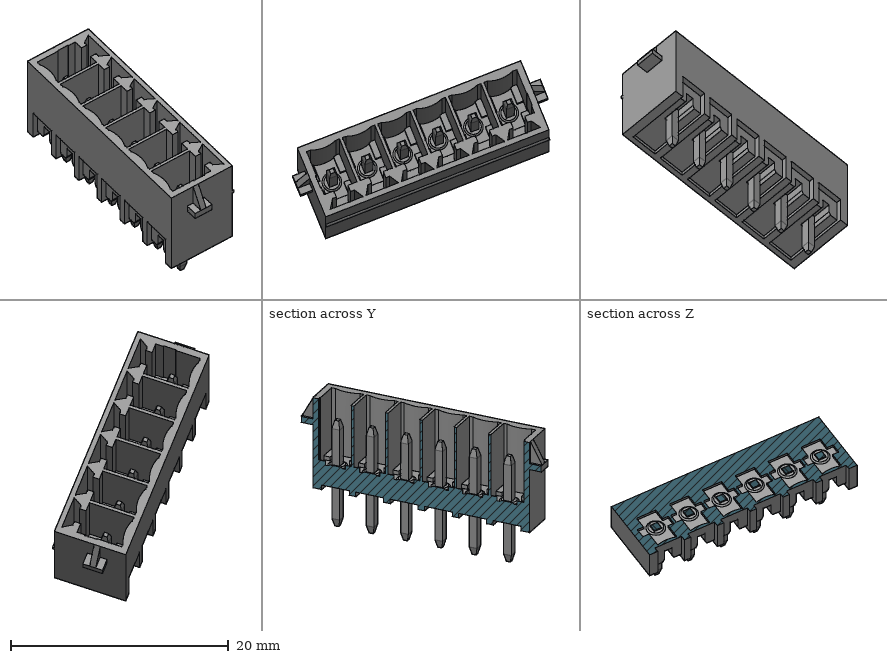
import cadquery as cq


pin_count = 6
pitch = 3.5
pin_xs = [(i - (pin_count - 1) / 2) * pitch for i in range(pin_count)]

body_length = 22.1
body_height = 9.2
front_y = -2.8
back_y = 4.2
outer_wall = 0.65
back_wall = 0.5

pin_width = 0.8
pin_tip_width = 0.4
pin_tip_length = 0.8
pin_bottom_z = -3.55
pin_top_z = 7.2

partition = 0.3
cell_half = (pitch - partition) / 2
cell_front_y = front_y + outer_wall
cell_back_y = back_y - back_wall
end_wall_x = body_length / 2 - outer_wall
floor_z = 3.0

tooth_front_y = 2.2
tooth_back_y = 2.83
tooth_gap_half = 0.7
flare_half = 1.08

bulge_half = 1.25
bulge_height = 0.25

recess_half = 1.0
recess_back_y = 1.73
recess_depth = 0.4
channel_half = 0.48
recess_z = floor_z - recess_depth
boss_diameter = 1.8
boss_top_diameter = 1.45
boss_height = 0.12

groove_depth = 0.07
groove_front_y = 0.25
groove_back_y = 1.45

notch_width = 2.8
notch_height = 3.1
notch_depth = 0.5
standoff = 0.45
slot_top_z = 1.85
slot_flare_half = 0.58
slot_flare_top_z = 0.8

latch_reach = 1.2
rib_width = 0.6
rib_height = 2.15
plate_width = 1.93
plate_thickness = 0.65

ridge_radius = 0.2
ridge_z = 5.8


def box(x0, x1, y0, y1, z0, z1):
    """Box between two opposite corners."""
    return cq.Workplane("XY").box(x1 - x0, y1 - y0, z1 - z0, centered=False).translate((x0, y0, z0))


def cell(x, left, right):
    """Cell cavity around the pin at x, with its left and right sides at the given x."""
    return (
        cq.Workplane("XY", origin=(0, 0, floor_z))
        .moveTo(left, cell_front_y)
        .lineTo(x - bulge_half, cell_front_y)
        .threePointArc((x, cell_front_y + bulge_height), (x + bulge_half, cell_front_y))
        .lineTo(right, cell_front_y)
        .lineTo(right, tooth_front_y)
        .lineTo(x + tooth_gap_half, tooth_front_y)
        .lineTo(x + tooth_gap_half, tooth_back_y)
        .lineTo(x + flare_half, tooth_back_y)
        .lineTo(right, cell_back_y)
        .lineTo(left, cell_back_y)
        .lineTo(x - flare_half, tooth_back_y)
        .lineTo(x - tooth_gap_half, tooth_back_y)
        .lineTo(x - tooth_gap_half, tooth_front_y)
        .lineTo(left, tooth_front_y)
        .close()
        .extrude(body_height - floor_z)
    )


def floor_recess(x, left, right):
    """Recess in the cell floor, crossed by a channel and bounded in front by the arc of the wall."""
    pocket = (
        cq.Workplane("XY", origin=(0, 0, recess_z))
        .moveTo(x - bulge_half, cell_front_y)
        .threePointArc((x, cell_front_y + bulge_height), (x + bulge_half, cell_front_y))
        .lineTo(x + bulge_half, recess_back_y)
        .lineTo(x - bulge_half, recess_back_y)
        .close()
        .extrude(recess_depth)
        .intersect(box(x - recess_half, x + recess_half, cell_front_y, recess_back_y, recess_z, floor_z))
    )
    return pocket.union(box(left, right, -channel_half, channel_half, recess_z, floor_z))


def boss(x):
    """Truncated cone around the foot of the pin."""
    return (
        cq.Workplane("XY", origin=(x, 0, recess_z))
        .circle(boss_diameter / 2)
        .workplane(offset=boss_height)
        .circle(boss_top_diameter / 2)
        .loft(ruled=True)
    )


def underside_cut(x):
    """Front notch, raised bottom and flared pin slot below one cell."""
    left = x - notch_width / 2
    right = x + notch_width / 2
    notch = box(left, right, front_y, front_y + notch_depth, 0, notch_height)
    raised_bottom = box(left, right, front_y, cell_back_y, 0, standoff)
    half = pin_width / 2
    slot = (
        cq.Workplane("XZ", origin=(x, front_y, 0))
        .moveTo(-slot_flare_half, standoff)
        .lineTo(-half, slot_flare_top_z)
        .lineTo(-half, slot_top_z)
        .lineTo(half, slot_top_z)
        .lineTo(half, slot_flare_top_z)
        .lineTo(slot_flare_half, standoff)
        .close()
        .extrude(-(half - front_y))
    )
    return notch.union(raised_bottom).union(slot)


def latch():
    """Latch on the -X end: a plate with a sloped rib above it."""
    end_x = -body_length / 2
    plate_top_z = body_height - rib_height
    plate = box(
        end_x - latch_reach, end_x,
        -plate_width / 2, plate_width / 2,
        plate_top_z - plate_thickness, plate_top_z,
    )
    rib = (
        cq.Workplane("XZ", origin=(0, rib_width / 2, 0))
        .moveTo(end_x, body_height)
        .lineTo(end_x - latch_reach, plate_top_z)
        .lineTo(end_x, plate_top_z)
        .close()
        .extrude(rib_width)
    )
    return plate.union(rib)


def back_ridge():
    """Half-round ridge, as long as the block."""
    return (
        cq.Workplane("YZ", origin=(-body_length / 2, back_y, ridge_z))
        .moveTo(0, -ridge_radius)
        .threePointArc((ridge_radius, 0), (0, ridge_radius))
        .close()
        .extrude(body_length)
    )


def make_pin(x):
    """Square pin with a tapered tip at each end."""
    shaft_bottom_z = pin_bottom_z + pin_tip_length
    shaft_top_z = pin_top_z - pin_tip_length
    pin = cq.Workplane("XY", origin=(x, 0, shaft_bottom_z)).rect(pin_width, pin_width)
    pin = pin.extrude(shaft_top_z - shaft_bottom_z)
    for shaft_end_z, tip_offset in ((shaft_bottom_z, -pin_tip_length), (shaft_top_z, pin_tip_length)):
        tip = (
            cq.Workplane("XY", origin=(x, 0, shaft_end_z))
            .rect(pin_width, pin_width)
            .workplane(offset=tip_offset)
            .rect(pin_tip_width, pin_tip_width)
            .loft(ruled=True)
        )
        pin = pin.union(tip)
    return pin


def make_housing():
    """Block with latches, ridge, cells, pin slots and pin holes."""
    half_length = body_length / 2
    housing = box(-half_length, half_length, front_y, back_y, 0, body_height)
    end_latch = latch()
    housing = housing.union(end_latch).union(end_latch.mirror("YZ")).union(back_ridge())

    for x in pin_xs:
        left = -end_wall_x if x == pin_xs[0] else x - cell_half
        right = end_wall_x if x == pin_xs[-1] else x + cell_half
        housing = housing.cut(cell(x, left, right)).cut(floor_recess(x, left, right))
        housing = housing.union(boss(x))
        housing = housing.cut(underside_cut(x))
        housing = housing.cut(make_pin(x))

    groove = box(
        -end_wall_x - groove_depth, -end_wall_x,
        groove_front_y, groove_back_y,
        floor_z, body_height,
    )
    return housing.cut(groove).cut(groove.mirror("YZ"))


housing = make_housing()
pins = [make_pin(x) for x in pin_xs]

result = cq.Compound.makeCompound([housing.val(), *[pin.val() for pin in pins]])